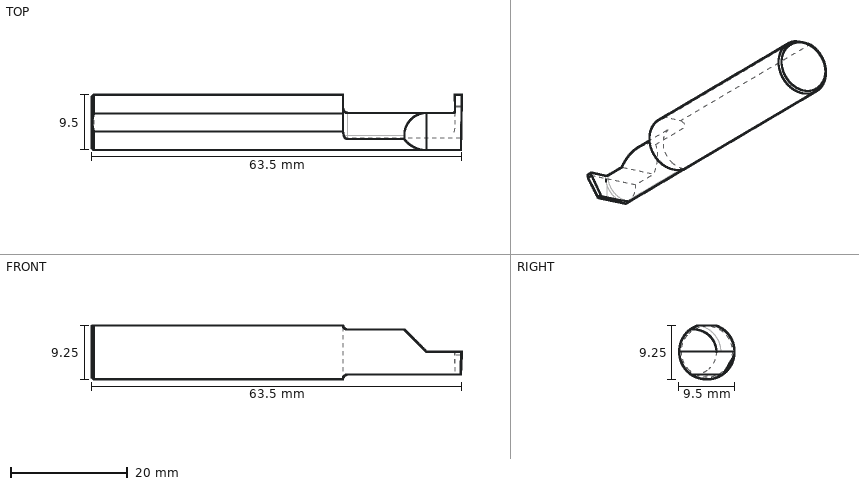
import cadquery as cq
import math

length = 63.5
shank_radius = 4.75
flat_height = 4.5
back_chamfer = 0.4
shank_end = 43.1

neck_radius = 3.9
neck_center_y = -2.2
neck_center_z = -0.05
shoulder_fillet = 0.75

ramp_end = 57.4

tooth_back_tip = 62.2
tooth_back_root = 62.3
tooth_root_fillet = 0.3
tooth_relief_angle = 30.0
tooth_land = 0.5
front_side_angle = 1.0
front_relief_angle = 2.0

neck_side_y = neck_center_y + neck_radius
neck_top = neck_center_z + neck_radius
neck_bottom = neck_center_z - neck_radius
clearance = 2 * shank_radius


def make_bar():
    bar = cq.Workplane("YZ").circle(shank_radius).extrude(length)
    bar = bar.faces("<X").chamfer(back_chamfer)
    above_flat = (
        cq.Workplane("XY", origin=(0, 0, flat_height))
        .rect(2 * length, 2 * clearance)
        .extrude(clearance)
    )
    return bar.cut(above_flat)


def make_neck_envelope():
    """Shoulder block and D-shaped neck joined by a concave fillet."""
    block = cq.Workplane("YZ").rect(4 * clearance, 4 * clearance).extrude(shank_end)
    neck = (
        cq.Workplane("YZ", origin=(shank_end, 0, 0))
        .moveTo(-clearance, neck_bottom)
        .lineTo(neck_center_y, neck_bottom)
        .threePointArc((neck_side_y, neck_center_z), (neck_center_y, neck_top))
        .lineTo(-clearance, neck_top)
        .close()
        .extrude(length - shank_end)
    )
    half_fillet = shoulder_fillet / 2
    junction = cq.selectors.BoxSelector(
        (shank_end - half_fillet, -0.9 * clearance, neck_bottom - half_fillet),
        (shank_end + half_fillet, neck_side_y + half_fillet, neck_top + half_fillet),
    )
    return block.union(neck).edges(junction).edges("#X").fillet(shoulder_fillet)


def make_tooth_root():
    """Concave ring around the neck that fillets the back of the tooth."""
    radius = tooth_root_fillet
    bow = radius * (1 - math.sqrt(0.5))
    return (
        cq.Workplane("XY", origin=(0, neck_center_y, neck_center_z))
        .moveTo(tooth_back_root - radius, neck_radius)
        .threePointArc(
            (tooth_back_root - bow, neck_radius + bow),
            (tooth_back_root, neck_radius + radius),
        )
        .lineTo(length, neck_radius + radius)
        .lineTo(length, neck_radius - radius)
        .lineTo(tooth_back_root - radius, neck_radius - radius)
        .close()
        .revolve(360, (0, 0, 0), (1, 0, 0))
    )


def make_tooth():
    """Plate reaching out to the bar radius, relieved below its cutting edge."""
    plan = (
        cq.Workplane("XY", origin=(0, 0, neck_bottom))
        .moveTo(tooth_back_tip, shank_radius)
        .lineTo(tooth_back_root, neck_side_y)
        .lineTo(tooth_back_root, neck_center_y)
        .lineTo(length, neck_center_y)
        .lineTo(length, shank_radius)
        .close()
        .extrude(-neck_bottom)
    )
    relief_depth = -neck_bottom - tooth_land
    relief_y = shank_radius - relief_depth * math.tan(math.radians(tooth_relief_angle))
    profile = (
        cq.Workplane("YZ")
        .moveTo(neck_center_y, 0)
        .lineTo(shank_radius, 0)
        .lineTo(shank_radius, -tooth_land)
        .lineTo(relief_y, neck_bottom)
        .lineTo(neck_center_y, neck_bottom)
        .close()
        .extrude(length)
    )
    return plan.union(make_tooth_root()).intersect(profile)


def make_top_cut():
    """Space above the head, bounded by the ramp."""
    return (
        cq.Workplane("XZ")
        .moveTo(ramp_end, 0)
        .lineTo(length + clearance, 0)
        .lineTo(length + clearance, clearance)
        .lineTo(ramp_end - clearance, clearance)
        .close()
        .extrude(clearance, both=True)
    )


def make_front_cut():
    """Tilted cutter that leaves the tooth tip as the foremost point."""
    return (
        cq.Workplane("XY")
        .box(clearance, 4 * clearance, 4 * clearance, centered=(False, True, True))
        .rotate((0, 0, 0), (0, 0, 1), -front_side_angle)
        .rotate((0, 0, 0), (0, 1, 0), front_relief_angle)
        .translate((length, shank_radius, 0))
    )


bar = make_bar()
body = bar.intersect(make_neck_envelope()).union(make_tooth().intersect(bar))
result = body.cut(make_top_cut()).cut(make_front_cut())